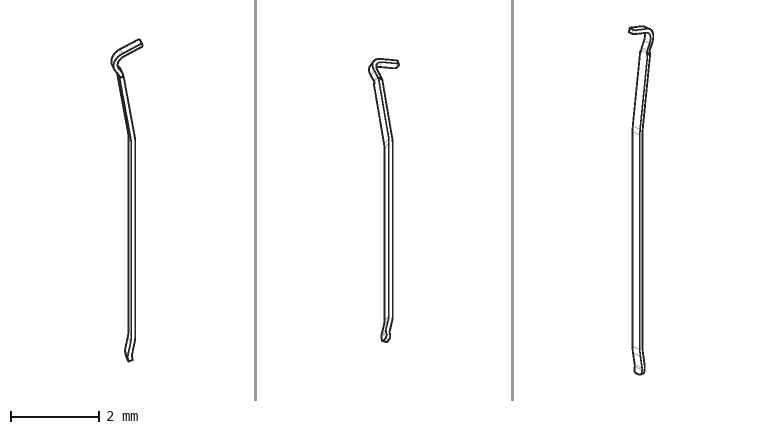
import cadquery as cq
import math

strip_thickness = 0.1
shaft_width = 0.22
head_width = 0.17
head_step_drop = 0.04

shaft_length = 5.83


lean_direction = 8.0
lean_bend_radius = 1.0
lean_length = 1.95
neck_direction = 29.0
neck_bend_radius = 0.12
neck_length = 0.17
arm_direction = -67.5
arm_length = 0.5
contact_outer_radius = 0.34
tip_corner_radius = 0.05

foot_direction = 10.0
foot_bend_radius = 1.05
foot_length = 0.36
toe_direction = -10.0
toe_length = 0.15
toe_bend_radius = 0.2
toe_corner_radius = 0.075

half_thickness = strip_thickness / 2


class StripOutline:
    """Follows the strip's centreline in the YZ plane and records both of its faces."""

    def __init__(self, vertical):
        self.vertical = vertical
        self.y = 0.0
        self.z = 0.0
        self.direction = 0.0
        self.front = []
        self.back = []

    def face_point(self, offset, direction):
        """Point at an offset from the centreline, positive towards -Y."""
        angle = math.radians(direction)
        across_y = -math.cos(angle)
        across_z = -math.sin(angle) * self.vertical
        return (self.y + offset * across_y, self.z + offset * across_z)

    def advance(self, length, direction):
        """Moves along the YZ plane without recording the faces."""
        angle = math.radians(direction)
        self.y -= length * math.sin(angle)
        self.z += length * math.cos(angle) * self.vertical

    def mark(self):
        """Records the point of each face at the present position."""
        self.front.append([self.face_point(half_thickness, self.direction)])
        self.back.append([self.face_point(-half_thickness, self.direction)])

    def straight(self, length):
        self.advance(length, self.direction)
        self.mark()

    def bend(self, new_direction, radius):
        """Round bend; the radius is that of the centreline."""
        half_turn = (new_direction - self.direction) / 2
        half_chord = 2 * radius * math.sin(math.radians(abs(half_turn) / 2))
        front_arc = []
        back_arc = []
        for _ in range(2):
            self.advance(half_chord, self.direction + half_turn / 2)
            self.direction += half_turn
            front_arc.append(self.face_point(half_thickness, self.direction))
            back_arc.append(self.face_point(-half_thickness, self.direction))
        self.front.append(front_arc)
        self.back.append(back_arc)


def draw_face(sketch, pieces):
    """Adds lines (one point) and arcs (middle and end point) to the sketch."""
    for piece in pieces:
        if len(piece) == 1:
            sketch = sketch.lineTo(*piece[0])
        else:
            sketch = sketch.threePointArc(*piece)
    return sketch


def reversed_face(pieces):
    """The same face travelled from its far end back to its first point."""
    backwards = []
    for before, piece in reversed(list(zip(pieces, pieces[1:]))):
        backwards.append(piece[-2::-1] + [before[-1]])
    return backwards


def strip_solid(outline):
    """Closes both faces into a side profile and extrudes it to the shaft width."""
    sketch = cq.Workplane("YZ").moveTo(*outline.front[0][0])
    sketch = draw_face(sketch, outline.front[1:])
    sketch = sketch.lineTo(*outline.back[-1][-1])
    sketch = draw_face(sketch, reversed_face(outline.back))
    return sketch.close().extrude(shaft_width / 2, both=True)


def round_end_corners(strip, outline, corner_radius):
    """Rounds the two corners at the free end of a strip, seen across its flat face."""
    end_point = cq.selectors.NearestToPointSelector((0, outline.y, outline.z))
    return strip.faces(end_point).edges("#X").fillet(corner_radius)


def narrow_head(strip, step_z, top_z):
    """Trims both sides of the strip to the head width above a square step."""
    trim_thickness = (shaft_width - head_width) / 2
    trim_center_x = head_width / 2 + trim_thickness / 2
    trim_depth = 4 * (contact_outer_radius + arm_length)
    for side in (-1, 1):
        trim = (
            cq.Workplane("XY", origin=(side * trim_center_x, 0, step_z))
            .rect(trim_thickness, trim_depth)
            .extrude(top_z - step_z)
        )
        strip = strip.cut(trim)
    return strip


def make_shaft_and_head():
    outline = StripOutline(1)
    outline.mark()
    outline.straight(shaft_length)
    outline.bend(lean_direction, lean_bend_radius)
    outline.straight(lean_length)
    step_z = outline.z - head_step_drop
    outline.bend(neck_direction, neck_bend_radius)
    outline.straight(neck_length)
    outline.bend(arm_direction, contact_outer_radius - half_thickness)
    outline.straight(arm_length)
    strip = strip_solid(outline)
    strip = narrow_head(strip, step_z, outline.z + strip_thickness)
    return round_end_corners(strip, outline, tip_corner_radius)


def make_foot():
    outline = StripOutline(-1)
    outline.mark()
    outline.bend(foot_direction, foot_bend_radius)
    outline.straight(foot_length)
    outline.bend(toe_direction, toe_bend_radius)
    outline.straight(toe_length)
    return round_end_corners(strip_solid(outline), outline, toe_corner_radius)


result = make_shaft_and_head().union(make_foot())